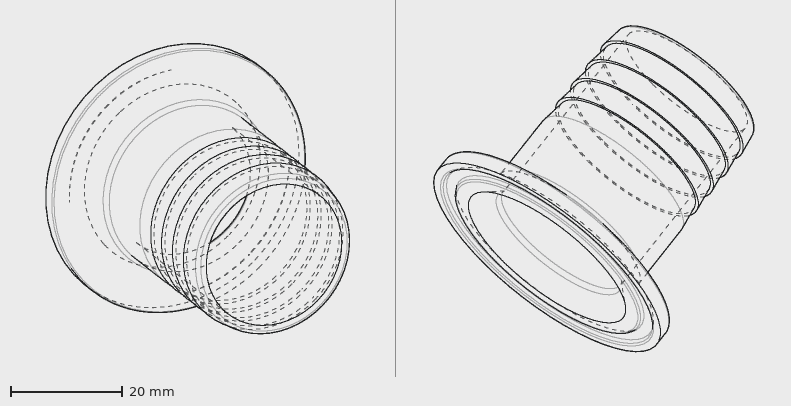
import cadquery as cq
import math

total_length = 42.85

flange_radius = 25.2
flange_rim_width = 2.85
flange_back_angle = 20.0
flange_edge_fillet = 0.4
neck_fillet = 1.1

groove_radius = 21.9
groove_mouth_half_width = 1.45
groove_wall_angle = 65.0
groove_bottom_radius = 1.15
groove_edge_fillet = 0.45

shank_radius = 31.75 / 2
barb_count = 5
barb_pitch = 4.6
barb_height = 0.65
tip_fillet = 0.75

bore_radius = 26.95 / 2
inlet_radius = 17.5
inlet_depth = 4.05
inlet_fillet = 1.5


def turn(profile):
    """Revolve a closed profile about the X axis."""
    return profile.close().revolve(360, (0, 0, 0), (1, 0, 0))


def circles_at(x, radius):
    """Return a filter for the circular edges at an axial position and radius."""
    tolerance = 0.005

    def matches(edge):
        if edge.geomType() != "CIRCLE":
            return False
        return abs(edge.Center().x - x) < tolerance and abs(edge.radius() - radius) < tolerance

    return matches


def make_body():
    """Solid flange, conical back, plain shank and sawtooth barbs."""
    barbs_start = total_length - barb_count * barb_pitch
    cone_length = (flange_radius - shank_radius) * math.tan(math.radians(flange_back_angle))
    cone_end = flange_rim_width + cone_length
    barb_root_radius = shank_radius - barb_height

    profile = (
        cq.Workplane("XY")
        .lineTo(0, flange_radius)
        .lineTo(flange_rim_width, flange_radius)
        .lineTo(cone_end, shank_radius)
    )
    for i in range(barb_count):
        barb_start = barbs_start + i * barb_pitch
        profile = profile.lineTo(barb_start, shank_radius)
        profile = profile.lineTo(barb_start + barb_pitch, barb_root_radius)
    body = turn(profile.lineTo(total_length, 0))

    body = body.edges().filter(circles_at(flange_rim_width, flange_radius)).fillet(flange_edge_fillet)
    body = body.edges().filter(circles_at(cone_end, shank_radius)).fillet(neck_fillet)
    return body.edges().filter(circles_at(total_length, barb_root_radius)).fillet(tip_fillet)


def cut_bore(body):
    """Through bore with a tapered inlet blended into it."""
    bore = turn(
        cq.Workplane("XY")
        .lineTo(0, inlet_radius)
        .lineTo(inlet_depth, bore_radius)
        .lineTo(total_length, bore_radius)
        .lineTo(total_length, 0)
    )
    bored = body.cut(bore)
    return bored.edges().filter(circles_at(inlet_depth, bore_radius)).fillet(inlet_fillet)


def cut_gasket_groove(body):
    """Ring groove with sloping walls, a round bottom and rounded mouth edges."""
    wall = math.radians(groove_wall_angle)
    bottom_half_width = groove_bottom_radius * math.sin(wall)
    wall_depth = (groove_mouth_half_width - bottom_half_width) * math.tan(wall)
    groove_depth = wall_depth + groove_bottom_radius * (1 - math.cos(wall))
    mouth_inner = groove_radius - groove_mouth_half_width
    mouth_outer = groove_radius + groove_mouth_half_width

    groove = turn(
        cq.Workplane("XY")
        .moveTo(0, mouth_inner)
        .lineTo(wall_depth, groove_radius - bottom_half_width)
        .threePointArc((groove_depth, groove_radius), (wall_depth, groove_radius + bottom_half_width))
        .lineTo(0, mouth_outer)
    )
    grooved = body.cut(groove)
    for mouth_radius in (mouth_inner, mouth_outer):
        grooved = grooved.edges().filter(circles_at(0, mouth_radius)).fillet(groove_edge_fillet)
    return grooved


result = cut_gasket_groove(cut_bore(make_body()))